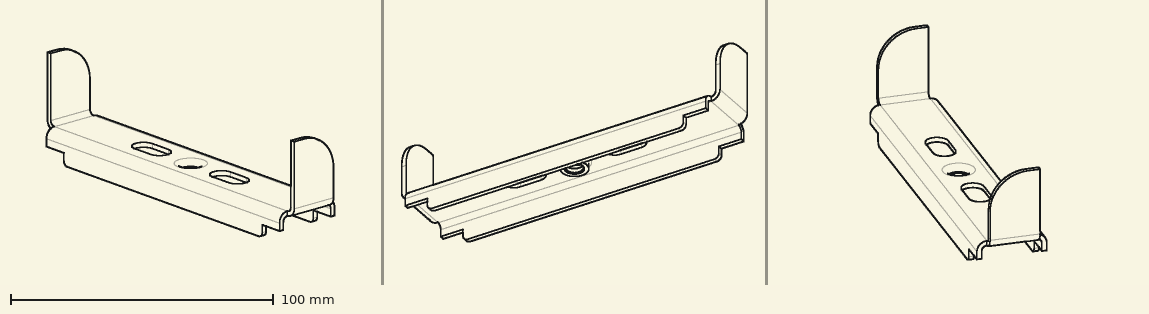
import cadquery as cq
import math

LENGTH = 142.0
WIDTH = 28.0
TAB_HEIGHT = 28.8
CHANNEL_DEPTH = 12.4
SHEET = 2.0
BEND_RADIUS = 4.0

NOTCH_LENGTH = 10.0
NOTCH_HEIGHT = 5.1
FLANGE_CORNER_RADIUS = 2.1

TAB_CORNER_RADIUS = 15.0

SLOT_LENGTH = 18.0
SLOT_WIDTH = 9.0
SLOT_OFFSET = 22.5

HOLE_DIAMETER = 6.7
HOLE_CHAMFER = 0.4
MOUTH_DIAMETER = 12.6
COLLAR_DIAMETER = 11.0
COLLAR_DEPTH = 5.1
COLLAR_FILLET = 1.0

channel_length = LENGTH - 2 * BEND_RADIUS
flange_length = channel_length - 2 * NOTCH_LENGTH
web_width = WIDTH - 2 * BEND_RADIUS
inner_bend_radius = BEND_RADIUS - SHEET
DIAGONAL = math.sqrt(0.5)


def make_channel():
    """U-shaped channel, open downwards, with notched flange ends."""
    outer = (
        cq.Workplane("XY")
        .box(channel_length, WIDTH, CHANNEL_DEPTH, centered=(True, True, False))
        .translate((0, 0, -CHANNEL_DEPTH))
        .edges("|X and >Z")
        .fillet(BEND_RADIUS)
    )
    inner_depth = CHANNEL_DEPTH - SHEET
    inner = (
        cq.Workplane("XY")
        .box(channel_length, WIDTH - 2 * SHEET, inner_depth, centered=(True, True, False))
        .translate((0, 0, -CHANNEL_DEPTH))
        .edges("|X and >Z")
        .fillet(inner_bend_radius)
    )
    upper_height = CHANNEL_DEPTH - NOTCH_HEIGHT
    side_outline = (
        cq.Workplane("XY")
        .box(channel_length, WIDTH, upper_height, centered=(True, True, False))
        .translate((0, 0, -upper_height))
    )
    lower_flange = (
        cq.Workplane("XY")
        .box(flange_length, WIDTH, CHANNEL_DEPTH, centered=(True, True, False))
        .translate((0, 0, -CHANNEL_DEPTH))
        .edges("|Y and <Z")
        .fillet(FLANGE_CORNER_RADIUS)
    )
    return outer.cut(inner).intersect(side_outline.union(lower_flange))


def make_tab():
    """Upright tab at the -X end, bent up from the web, its +Y top corner rounded."""
    outer_x = -LENGTH / 2
    bend_x = outer_x + BEND_RADIUS
    bend_z = inner_bend_radius
    tab = (
        cq.Workplane("XZ")
        .moveTo(bend_x, -SHEET)
        .threePointArc(
            (bend_x - BEND_RADIUS * DIAGONAL, bend_z - BEND_RADIUS * DIAGONAL),
            (outer_x, bend_z),
        )
        .lineTo(outer_x, TAB_HEIGHT)
        .lineTo(outer_x + SHEET, TAB_HEIGHT)
        .lineTo(outer_x + SHEET, bend_z)
        .threePointArc(
            (bend_x - inner_bend_radius * DIAGONAL, bend_z - inner_bend_radius * DIAGONAL),
            (bend_x, 0),
        )
        .close()
        .extrude(web_width / 2, both=True)
    )
    return tab.edges("|X and >Z and >Y").fillet(TAB_CORNER_RADIUS)


def make_slots():
    """Cutters for the two long slots through the web."""
    return (
        cq.Workplane("XY")
        .pushPoints([(-SLOT_OFFSET, 0), (SLOT_OFFSET, 0)])
        .slot2D(SLOT_LENGTH, SLOT_WIDTH)
        .extrude(-SHEET)
    )


def make_collar():
    """Solid collar below the web, with a concave fillet where it meets the sheet."""
    radius = COLLAR_DIAMETER / 2
    arc_reach = COLLAR_FILLET * (1 - DIAGONAL)
    return (
        cq.Workplane("XZ")
        .lineTo(0, -COLLAR_DEPTH)
        .lineTo(radius, -COLLAR_DEPTH)
        .lineTo(radius, -SHEET - COLLAR_FILLET)
        .threePointArc(
            (radius + arc_reach, -SHEET - arc_reach),
            (radius + COLLAR_FILLET, -SHEET),
        )
        .lineTo(radius + COLLAR_FILLET, 0)
        .close()
        .revolve(360, (0, 0, 0), (0, 1, 0))
    )


def make_hole():
    """Cutter for the central hole: rounded mouth, then a bore chamfered at both ends."""
    radius = HOLE_DIAMETER / 2
    throat_radius = radius + HOLE_CHAMFER
    mouth_radius = MOUTH_DIAMETER / 2
    rounding = mouth_radius - throat_radius
    return (
        cq.Workplane("XZ")
        .lineTo(mouth_radius, 0)
        .threePointArc(
            (mouth_radius - rounding * DIAGONAL, -rounding * (1 - DIAGONAL)),
            (throat_radius, -rounding),
        )
        .lineTo(radius, -rounding - HOLE_CHAMFER)
        .lineTo(radius, -COLLAR_DEPTH + HOLE_CHAMFER)
        .lineTo(throat_radius, -COLLAR_DEPTH)
        .lineTo(0, -COLLAR_DEPTH)
        .close()
        .revolve(360, (0, 0, 0), (0, 1, 0))
    )


left_tab = make_tab()
right_tab = left_tab.mirror("YZ")

result = (
    make_channel()
    .union(left_tab)
    .union(right_tab)
    .cut(make_slots())
    .union(make_collar())
    .cut(make_hole())
)